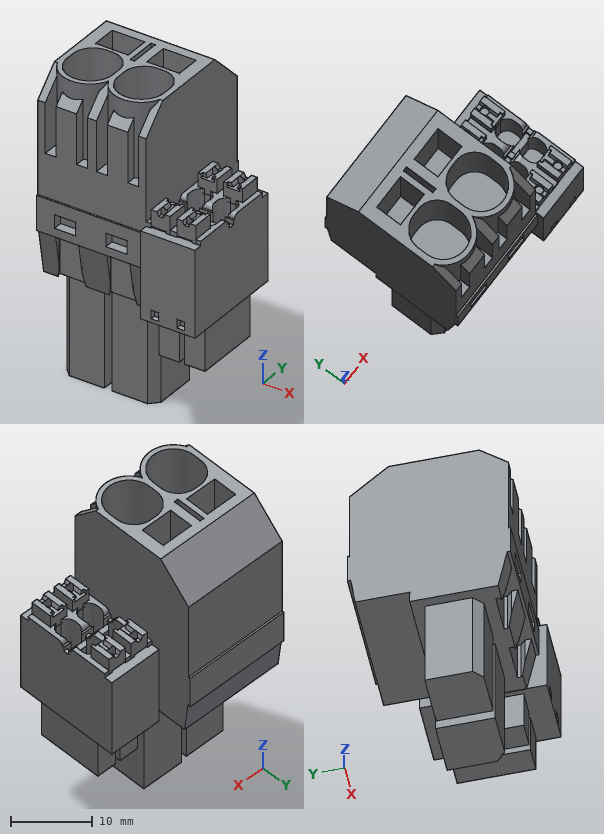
import cadquery as cq

height = 44.7
power_width = 16.1
power_depth = 20.03
power_pitch = 7.6
power_pole_xs = [(power_width + side * power_pitch) / 2 for side in (-1, 1)]
front_chamfer = 3.65
back_chamfer = 4.9

belt_top = 27.35
belt_bottom = 22.25
belt_projection = 0.25
foot_top_inset = 0.15
foot_bottom = 15.5
foot_front_inset = 1.3
foot_back_inset = 0.7
foot_step_y = 12.43
foot_step_z = 17.5

funnel_radius = 3.4
funnel_y = 5.25
funnel_back_y = 9.48
funnel_back_rounding = 2.95
funnel_wall = 0.7
funnel_floor = 33.7
grip_slot_outer = 3.15
grip_slot_inner = 1.5
top_pocket_width = 4.83
top_pocket_depth = 3.65
top_pocket_y = 11.85
divider_slit_width = 0.63
divider_slit_depth = 4.55
divider_slit_y = 11.58
divider_slit_x = 7.8

window_width = 3.15
window_bottom = 23.5
window_top = 25.5
window_depth = 1.35
recess_mouth_width = 3.4
recess_inner_width = 4.65
recess_flare_y = 0.95
recess_y = 2.0

contact_front = 3.58
contact_chamfer = 1.15
left_contact_start = 1.1
left_contact_end = 7.45
left_contact_back = 10.77
right_contact_start = 8.6
right_contact_end = 15.05
right_contact_back = 11.1

signal_width = 8.1
signal_pitch = 3.8
first_signal_pole_x = 18.25
signal_pole_xs = [first_signal_pole_x, first_signal_pole_x + signal_pitch]
signal_core_depth = 13.55
signal_center_y = signal_core_depth / 2
signal_core_top = 29.0
signal_bottom = 15.6
slab_thickness = 1.25
slab_top = 28.35
signal_contact_width = 3.05
signal_contact_depth = 9.92
signal_contact_bottom = 9.0
signal_contact_x_shift = 0.05
signal_window_width = 1.1
signal_window_bottom = 16.15
signal_window_height = 1.25
signal_window_depth = 0.75

channel_half_width = 0.7
channel_round = 0.65
trench_width = 0.85
trench_depth = 0.65
trench_pocket_width = 3.1
trench_pocket_depth = 1.35
wire_hole_width = 2.95
wire_hole_length = 3.5
wire_hole_offset = 1.88
wire_hole_depth = 6.7

lever_width = 2.8
lever_length = 3.2
lever_top = 31.0
groove_top_width = 1.1
groove_bottom_width = 0.6
groove_depth = 0.6
dimple_radius = 0.6
dimple_y = 1.1
dimple_depth = 0.9
end_notch_width = 1.9
end_notch_length = 0.4
foot_notch_width = 2.25
foot_notch_height = 0.25
foot_notch_depth = 0.2


def block(x_range, y_range, z_range):
    """Axis-aligned block between two limits on each axis."""
    limits = (x_range, y_range, z_range)
    sizes = [high - low for low, high in limits]
    return cq.Workplane("XY").box(*sizes, centered=False).translate([low for low, high in limits])


def around(center, width):
    """Limits of a width centred on a place."""
    return center - width / 2, center + width / 2


def power_shell():
    """Side outline of the power section, extruded across both poles."""
    outline = [
        (front_chamfer, height),
        (0, height - front_chamfer),
        (0, belt_top),
        (-belt_projection, belt_top),
        (-belt_projection, belt_bottom),
        (foot_top_inset, belt_bottom),
        (foot_front_inset, foot_bottom),
        (foot_step_y, foot_bottom),
        (foot_step_y, foot_step_z),
        (power_depth - foot_back_inset, foot_step_z),
        (power_depth - foot_top_inset, belt_bottom),
        (power_depth + belt_projection, belt_bottom),
        (power_depth + belt_projection, belt_top),
        (power_depth, belt_top),
        (power_depth, height - back_chamfer),
        (power_depth - back_chamfer, height),
    ]
    return cq.Workplane("YZ").polyline(outline).close().extrude(power_width)


def funnel_tower(x):
    """Round tower around a wire funnel, standing proud of the front chamfer."""
    tower = cq.Workplane("XY", origin=(x, funnel_y, funnel_floor))
    return tower.circle(funnel_radius + funnel_wall).extrude(height - funnel_floor)


def funnel_bore(x):
    """Opening of a wire funnel, round at the front and a rounded rectangle at the back."""
    front = cq.Workplane("XY", origin=(x, funnel_y, funnel_floor)).circle(funnel_radius)
    front = front.extrude(height - funnel_floor)
    back = block(around(x, 2 * funnel_radius), (funnel_y, funnel_back_y), (funnel_floor, height))
    back = back.edges("|Z and >Y").fillet(funnel_back_rounding)
    return front.union(back)


def grip_slots(x):
    """Two upright slots in the front face that reach back to the funnel tower."""
    y_range = (0, funnel_y)
    z_range = (funnel_floor, height)
    left = block((x - grip_slot_outer, x - grip_slot_inner), y_range, z_range)
    right = block((x + grip_slot_inner, x + grip_slot_outer), y_range, z_range)
    return left.union(right)


def finger_recess(x):
    """Upright recess in the foot front that flares at 45 degrees behind a narrower mouth."""
    mouth = recess_mouth_width / 2
    inner = recess_inner_width / 2
    flare_end_y = recess_flare_y + inner - mouth
    outline = [
        (x - mouth, 0),
        (x - mouth, recess_flare_y),
        (x - inner, flare_end_y),
        (x - inner, recess_y),
        (x + inner, recess_y),
        (x + inner, flare_end_y),
        (x + mouth, recess_flare_y),
        (x + mouth, 0),
    ]
    recess = cq.Workplane("XY", origin=(0, 0, foot_bottom)).polyline(outline).close()
    return recess.extrude(belt_bottom - foot_bottom)


def power_contacts():
    """Two square contact shrouds, each chamfered on its outer front edge."""
    left = block(
        (left_contact_start, left_contact_end), (contact_front, left_contact_back), (0, foot_bottom)
    )
    right = block(
        (right_contact_start, right_contact_end), (contact_front, right_contact_back), (0, foot_bottom)
    )
    left = left.edges("|Z and <X and <Y").chamfer(contact_chamfer)
    right = right.edges("|Z and >X and <Y").chamfer(contact_chamfer)
    return left.union(right)


def power_section():
    """Tall half of the housing with its funnels, pockets, windows and contact shrouds."""
    section = power_shell()
    for x in power_pole_xs:
        section = section.cut(grip_slots(x))
    for x in power_pole_xs:
        section = section.union(funnel_tower(x))
    for x in power_pole_xs:
        pocket = block(
            around(x, top_pocket_width), around(top_pocket_y, top_pocket_depth), (funnel_floor, height)
        )
        window = block(
            around(x, window_width),
            (-belt_projection, window_depth - belt_projection),
            (window_bottom, window_top),
        )
        section = section.cut(funnel_bore(x)).cut(pocket).cut(window).cut(finger_recess(x))
    slit = block(
        around(divider_slit_x, divider_slit_width),
        around(divider_slit_y, divider_slit_depth),
        (funnel_floor, height),
    )
    return section.cut(slit).union(power_contacts())


def row_channel():
    """Channel with rounded shoulders that runs across the signal section between the lever rows."""
    top_half = channel_half_width + channel_round
    floor = signal_core_top - channel_round
    outline = (
        cq.Workplane("YZ", origin=(power_width, signal_center_y, 0))
        .moveTo(-top_half, signal_core_top)
        .radiusArc((-channel_half_width, floor), channel_round)
        .lineTo(channel_half_width, floor)
        .radiusArc((top_half, signal_core_top), channel_round)
        .close()
    )
    return outline.extrude(signal_width)


def lever_seat(x):
    """Space in the core that the front lever of a pole fills."""
    return block(around(x, lever_width), (0, lever_length), (slab_top, signal_core_top))


def wire_hole(x):
    """Oblong front wire hole, cut off straight by the lever seat and by the trench."""
    hole = cq.Workplane("XY", origin=(x, signal_center_y - wire_hole_offset, signal_core_top))
    hole = hole.slot2D(wire_hole_length, wire_hole_width, 90).extrude(-wire_hole_depth)
    limits = block(
        around(x, wire_hole_width),
        (lever_length, signal_center_y - trench_width / 2),
        (signal_core_top - wire_hole_depth, signal_core_top),
    )
    return hole.intersect(limits)


def mirrored_to_back(shape):
    """Copy of a front shape for the back lever row."""
    return shape.mirror("XZ", (0, signal_center_y, 0))


def signal_section():
    """Low half of the housing with its lever seats, wire holes, windows and contact shrouds."""
    x_range = (power_width, power_width + signal_width)
    section = block(x_range, (0, signal_core_depth), (signal_bottom, signal_core_top))
    slabs = block(
        x_range, (-slab_thickness, signal_core_depth + slab_thickness), (signal_bottom, slab_top)
    )
    channel_floor = signal_core_top - channel_round
    trench_y = around(signal_center_y, trench_width)
    trench = block(x_range, trench_y, (channel_floor - trench_depth, channel_floor))
    section = section.union(slabs).cut(row_channel()).cut(trench)
    for x in signal_pole_xs:
        seat = lever_seat(x)
        trench_pocket = block(
            around(x, trench_pocket_width), trench_y, (channel_floor - trench_pocket_depth, channel_floor)
        )
        window = block(
            around(x, signal_window_width),
            (-slab_thickness, signal_window_depth - slab_thickness),
            (signal_window_bottom, signal_window_bottom + signal_window_height),
        )
        contact = block(
            around(x + signal_contact_x_shift, signal_contact_width),
            around(signal_center_y, signal_contact_depth),
            (signal_contact_bottom, signal_bottom),
        )
        section = section.cut(seat).cut(mirrored_to_back(seat)).cut(trench_pocket).cut(window)
        section = section.cut(wire_hole(x)).cut(mirrored_to_back(wire_hole(x))).union(contact)
    return section


def release_lever(x):
    """Front-row lever with a tapered groove, a round dimple and notches at its inner end and foot."""
    lever = block(around(x, lever_width), (0, lever_length), (slab_top, lever_top))
    groove_floor = lever_top - groove_depth
    groove = (
        cq.Workplane("XZ")
        .polyline(
            [
                (x - groove_top_width / 2, lever_top),
                (x - groove_bottom_width / 2, groove_floor),
                (x + groove_bottom_width / 2, groove_floor),
                (x + groove_top_width / 2, lever_top),
            ]
        )
        .close()
        .extrude(-lever_length)
    )
    dimple = cq.Workplane("XY", origin=(x, dimple_y, lever_top)).circle(dimple_radius)
    dimple = dimple.extrude(-groove_depth - dimple_depth)
    end_notch = block(
        around(x, end_notch_width),
        (lever_length - end_notch_length, lever_length),
        (groove_floor, lever_top),
    )
    left = x - lever_width / 2
    foot_notch = block(
        (left, left + foot_notch_width), (0, foot_notch_depth), (slab_top, slab_top + foot_notch_height)
    )
    return lever.cut(groove).cut(dimple).cut(end_notch).cut(foot_notch)


housing = power_section().union(signal_section())

levers = []
for pole_x in signal_pole_xs:
    front_lever = release_lever(pole_x)
    levers.append(front_lever.val())
    levers.append(mirrored_to_back(front_lever).val())

result = cq.Compound.makeCompound([housing.val(), *levers])